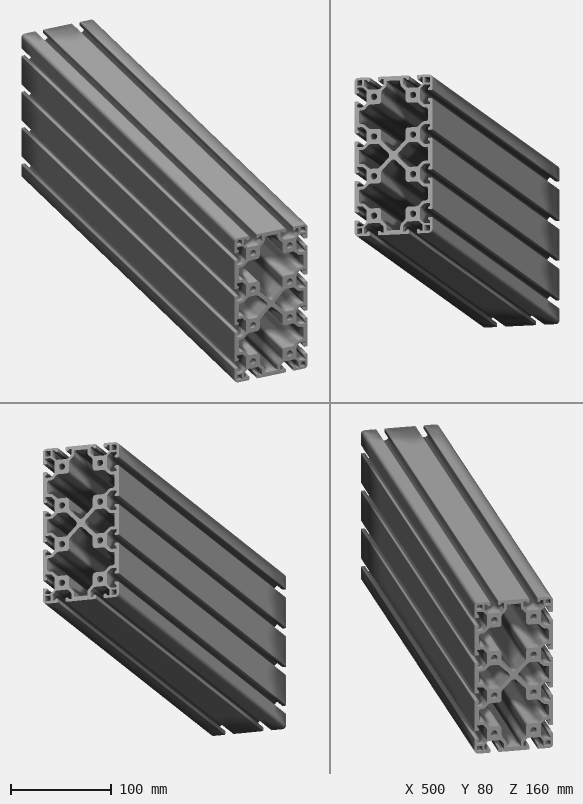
import cadquery as cq
import math

LENGTH = 500.0
MODULE = 40.0
COLUMNS = 2
ROWS = 4
WIDTH = COLUMNS * MODULE
HEIGHT = ROWS * MODULE
HALF_WIDTH = WIDTH / 2
HALF_HEIGHT = HEIGHT / 2
CORE_INSET = MODULE / 2
CORNER_RADIUS = 4.0

SLOT_OPENING = 8.0
SLOT_CAVITY = 20.0
SLOT_DEPTH = 12.5
LIP_NOSE_DEPTH = 4.5
LIP_NOSE_WIDTH = 2.0
LIP_RADIUS = 1.0
LIP_ROOT_DEPTH = 2.5
SLOT_BEND_DEPTH = 8.5
SLOT_BEND_RADIUS = 3.0

WALL = 4.5
SLOT_WALL = 3.0
CROSS_RIB = 4.0
CORE_BORE = 6.5
CORNER_HOLE_INSET = 2.5
CORNER_HOLE_SIDE = 5.5
CORE_CORNER_RADIUS = 3.0
WALL_CORNER_RADIUS = 2.5
BEND_RADIUS = 4.5
HUB_RADIUS = 3.5

CORE_HALF = CORE_INSET - SLOT_DEPTH
CORE_IN_Y = HALF_WIDTH - CORE_INSET
BAY_OFFSET = SLOT_CAVITY / 2 + SLOT_WALL
BAY_DIAGONAL_SUM = SLOT_BEND_DEPTH + SLOT_CAVITY / 2 + SLOT_WALL * math.sqrt(2)
BAY_BEND_DEPTH = BAY_DIAGONAL_SUM - BAY_OFFSET
BAY_CORE_DEPTH = BAY_DIAGONAL_SUM - CORE_HALF
RIB_OFFSET = CROSS_RIB / math.sqrt(2)

ROW_Z = [CORE_INSET - HALF_HEIGHT + row * MODULE for row in range(ROWS)]
COLUMN_Y = [CORE_INSET - HALF_WIDTH + column * MODULE for column in range(COLUMNS)]


def prism(points):
    """Close a YZ outline and run it the full length."""
    return cq.Workplane("YZ").polyline(points).close().extrude(LENGTH)


def round_edges(body, places, radius):
    """Round the long edges that pass through the given (y, z) places."""
    for y, z in places:
        nearest = cq.selectors.NearestToPointSelector((LENGTH / 2, y, z))
        body = body.edges("|X").edges(nearest).fillet(radius)
    return body


def t_slot(face_y):
    """T-slot open towards +Y, with its mouth at face_y and centred on Z = 0."""
    half_opening = SLOT_OPENING / 2
    half_cavity = SLOT_CAVITY / 2
    half_floor = half_cavity - (SLOT_DEPTH - SLOT_BEND_DEPTH)
    nose_end = half_opening + LIP_NOSE_WIDTH
    nose_slope = LIP_NOSE_DEPTH - LIP_ROOT_DEPTH
    half_slot = (
        cq.Workplane("YZ")
        .moveTo(face_y, 0)
        .lineTo(face_y, half_opening + LIP_RADIUS)
        .radiusArc((face_y - LIP_RADIUS, half_opening), LIP_RADIUS)
        .lineTo(face_y - LIP_NOSE_DEPTH + LIP_RADIUS, half_opening)
        .radiusArc((face_y - LIP_NOSE_DEPTH, half_opening + LIP_RADIUS), LIP_RADIUS)
        .lineTo(face_y - LIP_NOSE_DEPTH, nose_end)
        .lineTo(face_y - LIP_ROOT_DEPTH, nose_end + nose_slope)
        .lineTo(face_y - LIP_ROOT_DEPTH, half_cavity)
        .lineTo(face_y - SLOT_BEND_DEPTH, half_cavity)
        .lineTo(face_y - SLOT_DEPTH, half_floor)
        .lineTo(face_y - SLOT_DEPTH, 0)
        .close()
        .extrude(LENGTH)
    )
    bends = [(face_y - SLOT_BEND_DEPTH, half_cavity), (face_y - SLOT_DEPTH, half_floor)]
    half_slot = round_edges(half_slot, bends, SLOT_BEND_RADIUS)
    return half_slot.union(half_slot.mirror("XY"))


def all_slots():
    """T-slots of every row on the two Y faces and every column on the two Z faces."""
    side_slot = t_slot(HALF_WIDTH)
    end_slot = t_slot(HALF_HEIGHT).rotate((0, 0, 0), (1, 0, 0), 90)
    slots = []
    for z in ROW_Z:
        slot = side_slot.translate((0, 0, z))
        slots += [slot, slot.mirror("XZ")]
    for y in COLUMN_Y:
        slot = end_slot.translate((0, y, 0))
        slots += [slot, slot.mirror("XY")]
    return slots


def end_chamber():
    """Large chamber between the +Z wall and the two upper cross ribs."""
    upper_core_z = HALF_HEIGHT - CORE_INSET
    lower_core_z = upper_core_z - MODULE
    core_inner_y = CORE_IN_Y - CORE_HALF
    upper_core_edge = (core_inner_y, upper_core_z - CORE_HALF)
    lower_core_edge = (core_inner_y, lower_core_z + CORE_HALF)
    end_web_y = CORE_IN_Y - BAY_OFFSET
    wall_y = HALF_WIDTH - WALL
    wall_corners = [(wall_y, upper_core_z - BAY_OFFSET), (wall_y, lower_core_z + BAY_OFFSET)]
    end_bends = [
        (end_web_y, HALF_HEIGHT - BAY_BEND_DEPTH),
        (core_inner_y, HALF_HEIGHT - BAY_CORE_DEPTH),
    ]
    upper_bends = [
        (HALF_WIDTH - BAY_CORE_DEPTH, upper_core_z - CORE_HALF),
        (HALF_WIDTH - BAY_BEND_DEPTH, upper_core_z - BAY_OFFSET),
    ]
    lower_bends = [
        (HALF_WIDTH - BAY_BEND_DEPTH, lower_core_z + BAY_OFFSET),
        (HALF_WIDTH - BAY_CORE_DEPTH, lower_core_z + CORE_HALF),
    ]
    rib_bend = (core_inner_y, core_inner_y + RIB_OFFSET)
    half = prism(
        [(0, HALF_HEIGHT - WALL), (end_web_y, HALF_HEIGHT - WALL)]
        + end_bends
        + [upper_core_edge]
        + upper_bends
        + wall_corners
        + lower_bends
        + [lower_core_edge, rib_bend, (0, RIB_OFFSET)]
    )
    half = round_edges(half, end_bends + upper_bends + lower_bends + [rib_bend], BEND_RADIUS)
    half = round_edges(half, [upper_core_edge, lower_core_edge], CORE_CORNER_RADIUS)
    half = round_edges(half, wall_corners, WALL_CORNER_RADIUS)
    chamber = half.union(half.mirror("XZ"))
    return round_edges(chamber, [(0, RIB_OFFSET)], HUB_RADIUS)


def side_chamber():
    """Chamber between the +Y wall and the two cross ribs on that side."""
    core_z = MODULE / 2
    core_inner_z = core_z - CORE_HALF
    web_z = core_z - BAY_OFFSET
    bends = [
        (core_inner_z + RIB_OFFSET, core_inner_z),
        (HALF_WIDTH - BAY_CORE_DEPTH, core_inner_z),
        (HALF_WIDTH - BAY_BEND_DEPTH, web_z),
    ]
    half = prism(
        [(RIB_OFFSET, 0)]
        + bends
        + [(HALF_WIDTH - WALL, web_z), (HALF_WIDTH - WALL, 0)]
    )
    half = round_edges(half, bends, BEND_RADIUS)
    chamber = half.union(half.mirror("XY"))
    return round_edges(chamber, [(RIB_OFFSET, 0)], HUB_RADIUS)


def core_bores():
    """Round bore through every core."""
    places = [(y, z) for y in COLUMN_Y for z in ROW_Z]
    return cq.Workplane("YZ").pushPoints(places).circle(CORE_BORE / 2).extrude(LENGTH)


def corner_holes():
    """Square hole in each of the four outer corners."""
    inset = CORNER_HOLE_INSET + CORNER_HOLE_SIDE / 2
    return (
        cq.Workplane("YZ")
        .rect(WIDTH - 2 * inset, HEIGHT - 2 * inset, forConstruction=True)
        .vertices()
        .rect(CORNER_HOLE_SIDE, CORNER_HOLE_SIDE)
        .extrude(LENGTH)
    )


body = cq.Workplane("YZ").rect(WIDTH, HEIGHT).extrude(LENGTH).edges("|X").fillet(CORNER_RADIUS)
for slot in all_slots():
    body = body.cut(slot)

upper_chamber = end_chamber()
right_chamber = side_chamber()
body = body.cut(upper_chamber).cut(upper_chamber.mirror("XY"))
body = body.cut(right_chamber).cut(right_chamber.mirror("XZ"))

result = body.cut(core_bores()).cut(corner_holes())